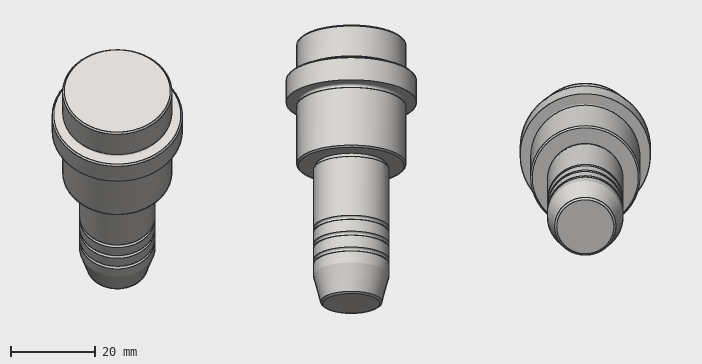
import cadquery as cq

total_height = 66.0

flange_diameter = 31.0
body_diameter = 26.0
stem_diameter = 18.0
neck_diameter = 17.0
tip_diameter = 14.4

taper_top = 7.0
neck_bottom = 34.0
body_bottom = 35.0
flange_bottom = 51.0
flange_top = 57.0

edge_chamfer = 0.4
groove_width = 1.0
groove_radius = groove_width / 2
stem_groove_count = 3
stem_groove_pitch = 4.0
lowest_groove_center = 10.5


def cylinder(diameter, bottom, top):
    return cq.Workplane("XY").workplane(offset=bottom).circle(diameter / 2).extrude(top - bottom)


def ring_groove(surface_diameter, center_height):
    """Ring cutter centred on a cylinder surface; it leaves a half-round groove."""
    center = cq.Vector(0, 0, center_height)
    ring = cq.Solid.makeTorus(surface_diameter / 2, groove_radius, center, cq.Vector(0, 0, 1))
    return cq.Workplane("XY").add(ring)


def make_tip():
    """Tapered lead-in with a chamfered end."""
    tip = (
        cq.Workplane("XY")
        .circle(tip_diameter / 2)
        .workplane(offset=taper_top)
        .circle(stem_diameter / 2)
        .loft(ruled=True)
    )
    return tip.faces("<Z").chamfer(edge_chamfer)


def make_stem():
    """Hose stem with evenly spaced grooves above the taper."""
    stem = cylinder(stem_diameter, taper_top, neck_bottom)
    for index in range(stem_groove_count):
        center_height = lowest_groove_center + index * stem_groove_pitch
        stem = stem.cut(ring_groove(stem_diameter, center_height))
    return stem


def make_body():
    """Plug body with a groove directly below the flange."""
    body = cylinder(body_diameter, body_bottom, flange_bottom).faces("<Z").chamfer(edge_chamfer)
    return body.cut(ring_groove(body_diameter, flange_bottom - groove_radius))


def make_head():
    """Top section with a groove directly above the flange."""
    head = cylinder(body_diameter, flange_top, total_height).faces(">Z").chamfer(edge_chamfer)
    return head.cut(ring_groove(body_diameter, flange_top + groove_radius))


neck = cylinder(neck_diameter, neck_bottom, body_bottom)
flange = cylinder(flange_diameter, flange_bottom, flange_top).faces(">Z").chamfer(edge_chamfer)

result = make_tip()
for section in (make_stem(), neck, make_body(), flange, make_head()):
    result = result.union(section)